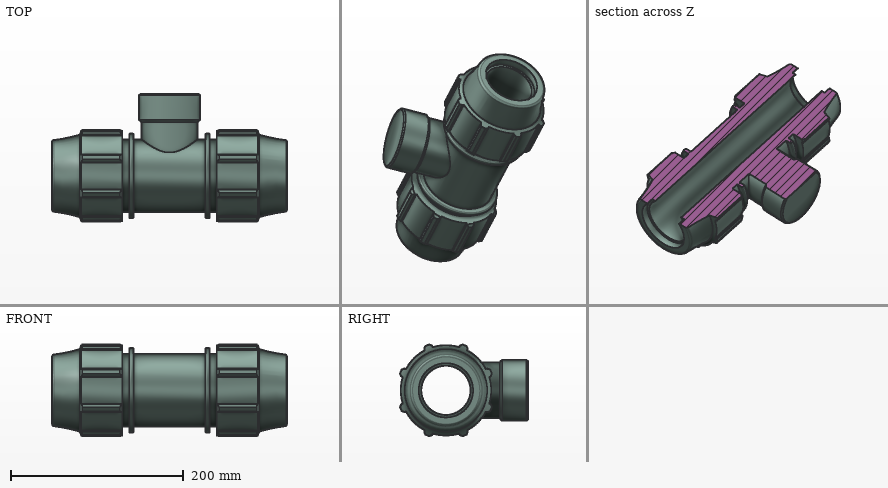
import cadquery as cq
import math

TOTAL_LENGTH = 272.0
BRANCH_REACH = 95.0

BODY_RADIUS = 84.75 / 2
FLANGE_RADIUS = 98.31 / 2
FLANGE_WIDTH = 5.0
FLANGE_CENTRE_X = 44.1
FLANGE_FILLET = 1.6

BORE_RADIUS = 56.7 / 2
SOCKET_RADIUS = 63.0 / 2
SOCKET_DEPTH = 9.0

NUT_INNER_X = 54.5
NUT_SHOULDER_X = 103.7
NUT_RADIUS = 52.4
NUT_SHOULDER_RADIUS = 47.8
NUT_BEVEL_SLOPE = 0.33
TIP_RADIUS = 41.3
TIP_FILLET = 2.7
TAPER_SAG = 0.7

RIB_COUNT = 8
RIB_WIDTH = 10.0
RIB_CHAMFER = 2.5
RIB_TOP_HEIGHT = 53.16
RIB_BEVEL_LENGTH = 3.2

NECK_RADIUS = 65.15 / 2
COLLAR_RADIUS = 70.82 / 2
COLLAR_LENGTH = 32.8
COLLAR_RIM_CHAMFER = 1.8

half_length = TOTAL_LENGTH / 2
rib_pitch = 360.0 / RIB_COUNT
rib_angle = math.radians(rib_pitch / 2)
rib_top_half_width = RIB_WIDTH / 2 - RIB_CHAMFER
rib_top = (RIB_TOP_HEIGHT - rib_top_half_width * math.sin(rib_angle)) / math.cos(rib_angle)
rib_side_top = rib_top - RIB_CHAMFER


def shoulder_x(radius):
    """Axial position of the conical nut shoulder at a given radius."""
    return NUT_SHOULDER_X - NUT_BEVEL_SLOPE * (radius - NUT_SHOULDER_RADIUS)


def revolve_about_x(profile):
    return profile.close().revolve(360, (0, 0, 0), (1, 0, 0))


def make_body():
    return cq.Workplane("YZ").circle(BODY_RADIUS).extrude(NUT_INNER_X, both=True)


def make_flange():
    start_x = FLANGE_CENTRE_X - FLANGE_WIDTH / 2
    disc = cq.Workplane("YZ").workplane(offset=start_x).circle(FLANGE_RADIUS).extrude(FLANGE_WIDTH)
    return disc.edges().fillet(FLANGE_FILLET)


def make_nose():
    """Core of the nut ending in the tapered nose."""
    middle_x = (NUT_SHOULDER_X + half_length) / 2
    middle_radius = (NUT_SHOULDER_RADIUS + TIP_RADIUS) / 2 - TAPER_SAG
    profile = (
        cq.Workplane("XY")
        .moveTo(NUT_INNER_X, 0)
        .lineTo(NUT_INNER_X, NUT_SHOULDER_RADIUS)
        .lineTo(NUT_SHOULDER_X, NUT_SHOULDER_RADIUS)
        .threePointArc((middle_x, middle_radius), (half_length, TIP_RADIUS))
        .lineTo(half_length, 0)
    )
    return revolve_about_x(profile).faces(">X").edges().fillet(TIP_FILLET)


def make_rib():
    """One rib standing along +Z: chamfered long edges and a bevelled inner end."""
    section = (
        cq.Workplane("YZ")
        .workplane(offset=NUT_INNER_X)
        .moveTo(-RIB_WIDTH / 2, BODY_RADIUS)
        .lineTo(-RIB_WIDTH / 2, rib_side_top)
        .lineTo(-rib_top_half_width, rib_top)
        .lineTo(rib_top_half_width, rib_top)
        .lineTo(RIB_WIDTH / 2, rib_side_top)
        .lineTo(RIB_WIDTH / 2, BODY_RADIUS)
        .close()
        .extrude(NUT_SHOULDER_X - NUT_INNER_X)
    )
    bevel = (
        cq.Workplane("XZ")
        .moveTo(NUT_INNER_X, rib_side_top)
        .lineTo(NUT_INNER_X, rib_top)
        .lineTo(NUT_INNER_X + RIB_BEVEL_LENGTH, rib_top)
        .close()
        .extrude(RIB_WIDTH, both=True)
    )
    return section.cut(bevel)


def make_shoulder_envelope():
    """Turned volume whose conical end forms the nut shoulder."""
    envelope_radius = math.hypot(rib_top, RIB_WIDTH)
    profile = (
        cq.Workplane("XY")
        .moveTo(NUT_INNER_X, 0)
        .lineTo(NUT_INNER_X, envelope_radius)
        .lineTo(shoulder_x(envelope_radius), envelope_radius)
        .lineTo(NUT_SHOULDER_X, NUT_SHOULDER_RADIUS)
        .lineTo(NUT_SHOULDER_X, 0)
    )
    return revolve_about_x(profile)


def make_nut():
    """Ribbed barrel with a conical shoulder, joined to the tapered nose."""
    barrel_length = NUT_SHOULDER_X - NUT_INNER_X
    nut = cq.Workplane("YZ").workplane(offset=NUT_INNER_X).circle(NUT_RADIUS).extrude(barrel_length)
    rib = make_rib()
    for index in range(RIB_COUNT):
        angle = (index + 0.5) * rib_pitch
        nut = nut.union(rib.rotate((0, 0, 0), (1, 0, 0), angle))
    return nut.intersect(make_shoulder_envelope()).union(make_nose())


def make_branch():
    """Plain closed branch: a neck ending in a wider collar."""
    collar_start = BRANCH_REACH - COLLAR_LENGTH
    shoulder = COLLAR_RADIUS - NECK_RADIUS
    profile = (
        cq.Workplane("XY")
        .lineTo(NECK_RADIUS, 0)
        .lineTo(NECK_RADIUS, collar_start)
        .lineTo(COLLAR_RADIUS, collar_start + shoulder)
        .lineTo(COLLAR_RADIUS, BRANCH_REACH - COLLAR_RIM_CHAMFER)
        .lineTo(COLLAR_RADIUS - COLLAR_RIM_CHAMFER, BRANCH_REACH)
        .lineTo(0, BRANCH_REACH)
        .close()
    )
    return profile.revolve(360, (0, 0, 0), (0, 1, 0))


def make_bore():
    """Through bore with a wider pipe socket at each end."""
    bore = cq.Workplane("YZ").circle(BORE_RADIUS).extrude(half_length, both=True)
    socket_start = half_length - SOCKET_DEPTH
    socket = cq.Workplane("YZ").workplane(offset=socket_start).circle(SOCKET_RADIUS).extrude(SOCKET_DEPTH)
    return bore.union(socket).union(socket.mirror("YZ"))


nut = make_nut()
flange = make_flange()

result = make_body().union(make_branch())
for feature in (nut, flange):
    result = result.union(feature).union(feature.mirror("YZ"))
result = result.cut(make_bore())